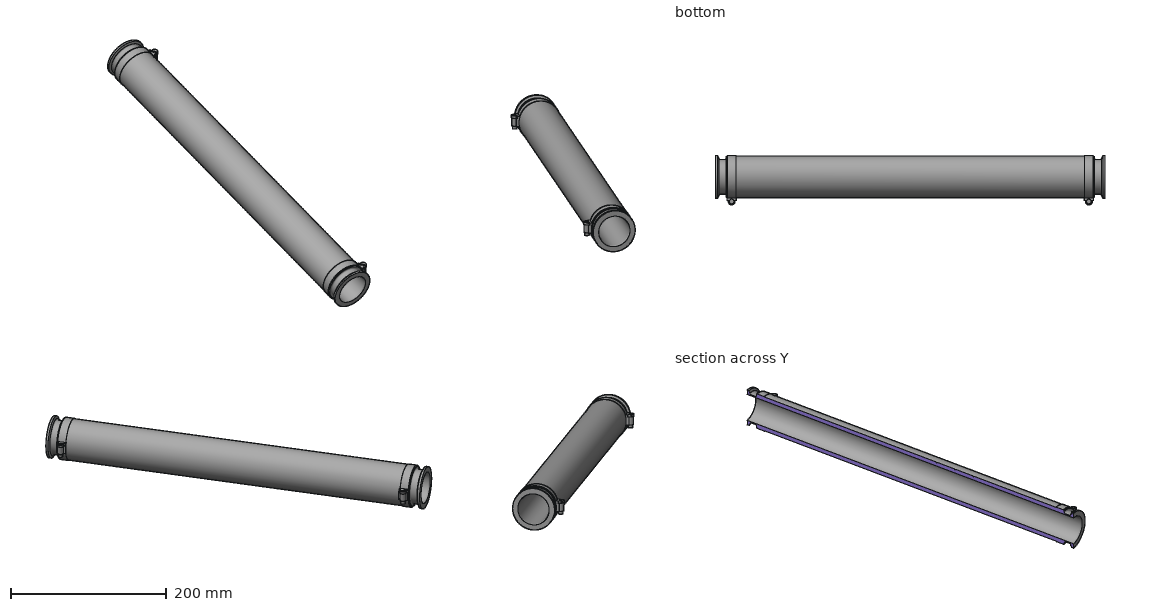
import cadquery as cq

length = 500.0
bore_radius = 20.0
mouth_radius = 20.5
neck_radius = 22.5
flange_radius = 27.5
hose_radius = 27.0
band_radius = 27.5

flange_rim_end = 3.0
flange_taper_end = 4.5
mouth_depth = 2.0
hose_start = 14.0
band_start = 15.5
band_width = 11.0
flange_root_fillet = 2.0
hose_edge_chamfer = 1.0
hose_root_fillet = 1.5

head_radius = 4.5
screw_reach = 36.0
screw_offset = screw_reach - head_radius
head_bottom = 5.5
head_top = 8.5
tail_radius = 3.0
tail_bottom = -9.5
slot_width = 1.5
slot_depth = 1.5
slot_angle = 30

cover_radius = 4.0
cover_bottom = -5.5
saddle_width = 12.0
saddle_top = 30.5
head_plate_top = 29.0
saddle_root = 25.0


def revolve_about_x(outline):
    return outline.close().revolve(360, (0, 0, 0), (1, 0, 0))


def hose():
    outline = (
        cq.Workplane("XZ")
        .moveTo(hose_start, bore_radius)
        .lineTo(hose_start, hose_radius - hose_edge_chamfer)
        .lineTo(hose_start + hose_edge_chamfer, hose_radius)
        .lineTo(length / 2, hose_radius)
        .lineTo(length / 2, bore_radius)
    )
    return revolve_about_x(outline)


def ferrule():
    outline = (
        cq.Workplane("XZ")
        .moveTo(0, mouth_radius)
        .lineTo(0, flange_radius)
        .lineTo(flange_rim_end, flange_radius)
        .lineTo(flange_taper_end, neck_radius + flange_root_fillet)
        .radiusArc((flange_taper_end + flange_root_fillet, neck_radius), -flange_root_fillet)
        .lineTo(hose_start - hose_root_fillet, neck_radius)
        .radiusArc((hose_start, neck_radius + hose_root_fillet), -hose_root_fillet)
        .lineTo(hose_start, bore_radius)
        .lineTo(mouth_depth, bore_radius)
    )
    return revolve_about_x(outline)


def clamp_band(start):
    end = start + band_width
    outline = (
        cq.Workplane("XZ")
        .moveTo(start, neck_radius)
        .lineTo(start, band_radius)
        .lineTo(end, band_radius)
        .lineTo(end, neck_radius)
    )
    return revolve_about_x(outline)


def post(center_x, radius, bottom, top):
    return (
        cq.Workplane("XY", origin=(center_x, screw_offset, bottom))
        .circle(radius)
        .extrude(top - bottom)
    )


def clamp_screw(center_x):
    slot = (
        cq.Workplane("XY", origin=(center_x, screw_offset, head_top - slot_depth))
        .transformed(rotate=(0, 0, slot_angle))
        .rect(2 * head_radius, slot_width)
        .extrude(slot_depth)
    )
    head = post(center_x, head_radius, head_bottom, head_top).cut(slot)
    tail = post(center_x, tail_radius, tail_bottom, head_bottom)
    return head.union(tail)


def saddle_plate(center_x, plate_top, bottom, top):
    return (
        cq.Workplane("XY", origin=(center_x, (saddle_root + plate_top) / 2, bottom))
        .rect(saddle_width, plate_top - saddle_root)
        .extrude(top - bottom)
    )


def clamp_housing(center_x):
    saddle = saddle_plate(center_x, saddle_top, cover_bottom, head_bottom)
    head_plate = saddle_plate(center_x, head_plate_top, head_bottom, head_top)
    cover = post(center_x, cover_radius, cover_bottom, head_bottom)
    return saddle.union(head_plate).union(cover)


near_half = hose().union(ferrule())
result = near_half.union(near_half.mirror("YZ", (length / 2, 0, 0)))
for start in (band_start, length - band_start - band_width):
    center_x = start + band_width / 2
    result = result.union(clamp_band(start))
    result = result.union(clamp_housing(center_x))
    result = result.union(clamp_screw(center_x))